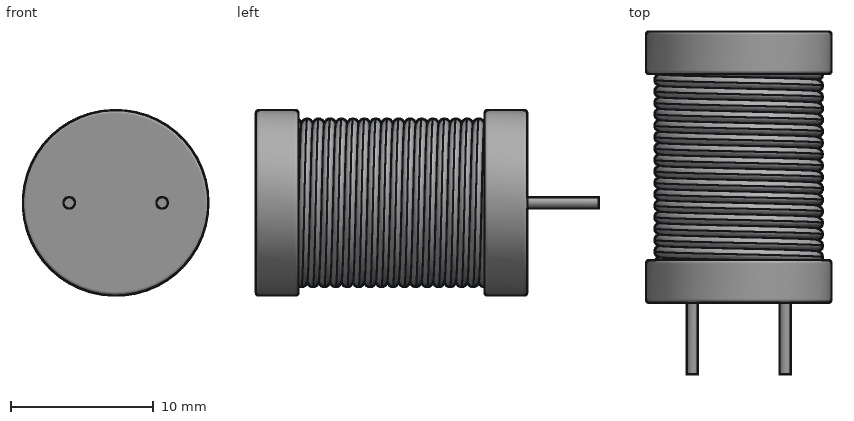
import cadquery as cq

flange_diameter = 13.0
flange_thickness = 3.0
winding_length = 13.0
flange_edge_radius = 0.25
core_radius = 5.55

wire_diameter = 0.8
coil_radius = 5.5
hidden_end_length = 0.6

lead_diameter = 0.8
lead_length = 5.0
lead_spacing = 6.5
lead_embedment = 1.0

body_length = winding_length + 2 * flange_thickness


def cylinder_along_y(radius, start, length):
    """Cylinder about the Y direction, growing toward +Y from y = start."""
    return cq.Workplane("XZ", origin=(0, start, 0)).circle(radius).extrude(-length)


def make_flange(start):
    flange = cylinder_along_y(flange_diameter / 2, start, flange_thickness)
    return flange.edges("%CIRCLE").fillet(flange_edge_radius)


def make_winding():
    """Left-handed coil of round wire whose ends are buried in the flanges."""
    wire_radius = wire_diameter / 2
    crest = (coil_radius + wire_radius, 0)
    root = (coil_radius - wire_radius, 0)
    wire_section = (
        cq.Workplane("XZ")
        .moveTo(*crest)
        .threePointArc((coil_radius, wire_radius), root)
        .threePointArc((coil_radius, -wire_radius), crest)
        .close()
    )
    coil_length = winding_length + 2 * hidden_end_length
    helix = cq.Wire.makeHelix(wire_diameter, coil_length, coil_radius, lefthand=True)
    winding = wire_section.sweep(cq.Workplane(helix), isFrenet=True)
    start = flange_thickness - hidden_end_length
    return winding.rotate((0, 0, 0), (1, 0, 0), -90).translate((0, start, 0))


def make_lead(x):
    lead = cylinder_along_y(lead_diameter / 2, -lead_length, lead_length + lead_embedment)
    return lead.translate((x, 0, 0))


result = cylinder_along_y(core_radius, flange_thickness / 2, winding_length + flange_thickness)
result = result.union(make_winding())
for flange_start in (0, body_length - flange_thickness):
    result = result.union(make_flange(flange_start))
for side in (-1, 1):
    result = result.union(make_lead(side * lead_spacing / 2))